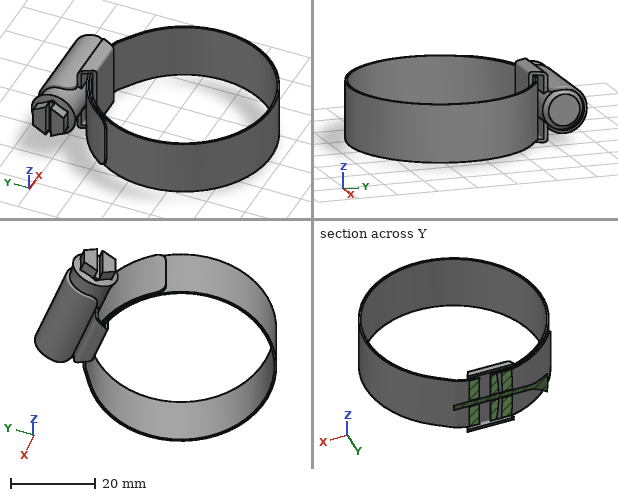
import cadquery as cq
import math


overall_length = 55.75

band_diameter = 45.1
band_radius = band_diameter / 2
band_thickness = 0.5
band_width = 14.25
tail_radius = 23.15
tail_start_angle = 68.0
tail_end_angle = 149.8
inner_end_angle = 90.0
bend_radius = 2.25
tail_corner_radius = 2.5

cover_radius = 5.8
cover_length = 21.05
screw_y = overall_length - band_radius - cover_radius
cover_corner_radius = 2.95
cover_edge_radius = 0.35
loop_height = 17.3
loop_top_y = 24.45
loop_bottom_y = 20.45
loop_wall = 0.85
loop_top_width = 14.25
loop_bottom_width = 9.85
loop_top_corner = 1.1
loop_bottom_corner = 0.9

shaft_radius = 5.0
shaft_chamfer = 1.1
flange_start_x = -14.5
flange_end_x = -10.6
flange_radius = 5.7
crown_height = 0.6
hex_flats = 7.9
hex_end_x = -17.5
slot_width = 1.35
slot_floor_x = -15.55


def polar(radius, angle):
    """Point at a radius and an angle in degrees from +X."""
    return radius * math.cos(math.radians(angle)), radius * math.sin(math.radians(angle))


def screw_cylinder(radius, start_x, end_x):
    """Round bar on the screw axis."""
    return cq.Workplane("YZ", origin=(start_x, screw_y, 0)).circle(radius).extrude(end_x - start_x)


def make_band():
    """One strip: main circle, straight rise, bend and overlapping tail."""
    ring_inside = band_radius - band_thickness
    tail_inside = tail_radius - band_thickness
    rise_angle = tail_start_angle - math.degrees(math.acos(band_radius / tail_radius))
    inside_start_angle = rise_angle + math.degrees(math.acos(ring_inside / tail_inside))
    ring_middle = (rise_angle + inner_end_angle - 360) / 2
    tail_middle = (tail_start_angle + tail_end_angle) / 2
    band = (
        cq.Workplane("XY", origin=(0, 0, -band_width / 2))
        .moveTo(*polar(band_radius, inner_end_angle))
        .threePointArc(polar(band_radius, ring_middle), polar(band_radius, rise_angle))
        .lineTo(*polar(tail_radius, tail_start_angle))
        .threePointArc(polar(tail_radius, tail_middle), polar(tail_radius, tail_end_angle))
        .lineTo(*polar(tail_inside, tail_end_angle))
        .threePointArc(polar(tail_inside, tail_middle), polar(tail_inside, inside_start_angle))
        .lineTo(*polar(ring_inside, rise_angle))
        .threePointArc(polar(ring_inside, ring_middle), polar(ring_inside, inner_end_angle))
        .close()
        .extrude(band_width)
    )
    bends = (
        (tail_radius, tail_start_angle, bend_radius + band_thickness),
        (tail_inside, inside_start_angle, bend_radius),
    )
    for radius, angle, fillet in bends:
        point = (*polar(radius, angle), 0)
        band = band.edges(cq.selectors.NearestToPointSelector(point)).fillet(fillet)
    tail_end = polar(tail_radius - band_thickness / 2, tail_end_angle)
    for z in (-band_width / 2, band_width / 2):
        corner = cq.selectors.NearestToPointSelector((*tail_end, z))
        band = band.edges(corner).fillet(tail_corner_radius)
    return band.cut(screw_cylinder(shaft_radius, -cover_length / 2, cover_length / 2))


def make_cover():
    """Round cover over the screw, with its lower ends rounded off down to the loop."""
    side_y = loop_top_y + cover_corner_radius
    end_x = cover_length / 2
    foot_x = end_x - cover_corner_radius
    diagonal = cover_corner_radius * math.sqrt(0.5)
    top_y = screw_y + cover_radius
    side_outline = (
        cq.Workplane("XY", origin=(0, 0, -cover_radius))
        .moveTo(-end_x, top_y)
        .lineTo(-end_x, side_y)
        .threePointArc((-foot_x - diagonal, side_y - diagonal), (-foot_x, loop_top_y))
        .lineTo(foot_x, loop_top_y)
        .threePointArc((foot_x + diagonal, side_y - diagonal), (end_x, side_y))
        .lineTo(end_x, top_y)
        .close()
        .extrude(2 * cover_radius)
    )
    cover = screw_cylinder(cover_radius, -end_x, end_x).intersect(side_outline)
    return cover.faces("<X or >X").edges().fillet(cover_edge_radius)


def make_loop():
    """Flat closed loop around the band, with slanted ends."""
    outer_depth = loop_top_y - loop_bottom_y
    middle_y = (loop_top_y + loop_bottom_y) / 2
    half_length = loop_top_width / 2
    loop = (
        cq.Workplane("XY", origin=(0, middle_y, 0))
        .box(loop_top_width, outer_depth, loop_height)
        .edges("|X and >Y")
        .fillet(loop_top_corner)
        .edges("|X and <Y")
        .fillet(loop_bottom_corner)
    )
    opening = (
        cq.Workplane("XY", origin=(0, middle_y, 0))
        .box(loop_top_width, outer_depth - 2 * loop_wall, loop_height - 2 * loop_wall)
        .edges("|X and >Y")
        .fillet(loop_top_corner - loop_wall)
        .edges("|X and <Y")
        .fillet(loop_bottom_corner - loop_wall)
    )
    slanted_outline = (
        cq.Workplane("XY", origin=(0, 0, -loop_height / 2))
        .moveTo(-half_length, loop_top_y)
        .lineTo(half_length, loop_top_y)
        .lineTo(loop_bottom_width / 2, loop_bottom_y)
        .lineTo(-loop_bottom_width / 2, loop_bottom_y)
        .close()
        .extrude(loop_height)
    )
    return loop.cut(opening).intersect(slanted_outline)


def make_housing():
    """Cover and loop in one piece, bored through for the screw."""
    bore = screw_cylinder(shaft_radius, -cover_length / 2, cover_length / 2)
    return make_cover().union(make_loop()).cut(bore)


def make_screw():
    """Worm shaft with a flared flange and a slotted hexagon head."""
    shaft_end_x = cover_length / 2
    crown_x = flange_start_x - crown_height
    crown_radius = hex_flats / 2
    flare_height = flange_radius - shaft_radius
    flare_middle = (
        (flange_start_x + flange_end_x) / 2,
        screw_y + shaft_radius + flare_height / 4,
    )
    body = (
        cq.Workplane("XY")
        .moveTo(crown_x, screw_y)
        .lineTo(crown_x, screw_y + crown_radius)
        .lineTo(flange_start_x, screw_y + flange_radius)
        .threePointArc(flare_middle, (flange_end_x, screw_y + shaft_radius))
        .lineTo(shaft_end_x - shaft_chamfer, screw_y + shaft_radius)
        .lineTo(shaft_end_x, screw_y + shaft_radius - shaft_chamfer)
        .lineTo(shaft_end_x, screw_y)
        .close()
        .revolve(360, (0, screw_y, 0), (1, screw_y, 0))
    )
    hex_diameter = hex_flats / math.cos(math.radians(30))
    head = (
        cq.Workplane("YZ", origin=(hex_end_x, screw_y, 0))
        .transformed(rotate=(0, 0, 90))
        .polygon(6, hex_diameter)
        .extrude(flange_start_x - hex_end_x)
    )
    slot = (
        cq.Workplane("XY", origin=(hex_end_x, screw_y, 0))
        .box(slot_floor_x - hex_end_x, slot_width, hex_diameter, centered=(False, True, True))
    )
    return body.union(head.cut(slot))


band = make_band()
housing = make_housing()
screw = make_screw()

result = cq.Compound.makeCompound([band.solids().val(), housing.solids().val(), screw.solids().val()])